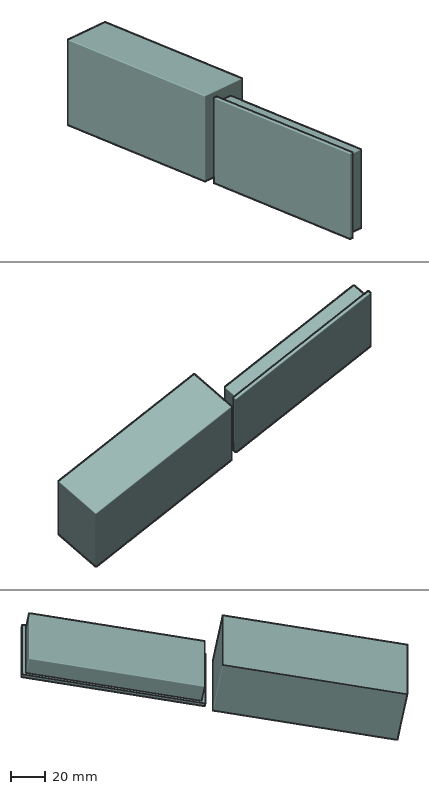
import cadquery as cq

TOTAL_LENGTH = 224.0
HEIGHT = 56.0
EDGE_RADIUS = 0.5

BOX_LENGTH = 110.0
BOX_DEPTH = 32.0

GAP = 5.0
LID_LENGTH = TOTAL_LENGTH - BOX_LENGTH - GAP
LID_OFFSET = 2.0
PLATE_THICKNESS = 2.2
PLUG_INSET = 2.2
PLUG_DEPTH = 10.0


def rounded_block(length, depth, height, sharp_side):
    """Block with a corner at the origin, rounded on all edges but those on one side."""
    block = cq.Workplane("XY").box(length, depth, height, centered=False)
    rounded_edges = f"not ({sharp_side})"
    return block.edges(rounded_edges).fillet(EDGE_RADIUS)


def make_box():
    """Plain block with a sharp rear rim."""
    return rounded_block(BOX_LENGTH, BOX_DEPTH, HEIGHT, ">Y")


def make_lid():
    """Plate with a plug on its rear face, both sharp where they meet."""
    plate = rounded_block(LID_LENGTH, PLATE_THICKNESS, HEIGHT, ">Y")
    plug_length = LID_LENGTH - 2 * PLUG_INSET
    plug_height = HEIGHT - 2 * PLUG_INSET
    plug = rounded_block(plug_length, PLUG_DEPTH, plug_height, "<Y")
    plug = plug.translate((PLUG_INSET, PLATE_THICKNESS, PLUG_INSET))
    return plate.union(plug).translate((BOX_LENGTH + GAP, LID_OFFSET, 0))


box = make_box()
lid = make_lid()

result = cq.Compound.makeCompound([box.val(), lid.val()])